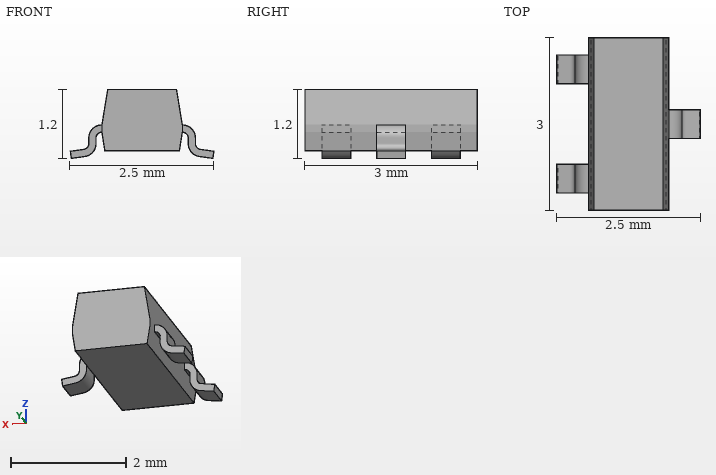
import cadquery as cq
import math

LEAD_SPAN = 2.5
BODY_LENGTH = 3.0
BODY_TOP = 1.2
BODY_BOTTOM = 0.132
TOP_WIDTH = 1.2
WAIST_WIDTH = 1.4
BOTTOM_WIDTH = 1.3

LEAD_THICKNESS = 0.13
LEAD_WIDTH = 0.505
LEAD_TOP = 0.585
BEND_INNER_RADIUS = 0.1
FOOT_ANGLE = math.radians(8)
LEAD_PITCH = 1.902

LEAD_BOTTOM = LEAD_TOP - LEAD_THICKNESS
BEND_OUTER_RADIUS = BEND_INNER_RADIUS + LEAD_THICKNESS


def make_housing():
    """Body tapering up and down from a narrow vertical waist band."""
    right_side = [
        (BOTTOM_WIDTH / 2, BODY_BOTTOM),
        (WAIST_WIDTH / 2, LEAD_BOTTOM),
        (WAIST_WIDTH / 2, LEAD_TOP),
        (TOP_WIDTH / 2, BODY_TOP),
    ]
    left_side = [(-x, z) for x, z in reversed(right_side)]
    return (
        cq.Workplane("XZ")
        .polyline(right_side + left_side)
        .close()
        .extrude(BODY_LENGTH / 2, both=True)
    )


def make_lead():
    """Gull-wing lead on the -X side, centred on Y = 0 and ending at the waist."""
    sin_foot = math.sin(FOOT_ANGLE)
    cos_foot = math.cos(FOOT_ANGLE)

    upper_x = -WAIST_WIDTH / 2
    upper_z = LEAD_TOP - BEND_OUTER_RADIUS
    lower_x = upper_x - BEND_OUTER_RADIUS - BEND_INNER_RADIUS
    tip_top_x = -LEAD_SPAN / 2
    foot_length = (lower_x + BEND_INNER_RADIUS * sin_foot - tip_top_x) / cos_foot
    lower_z = BEND_OUTER_RADIUS * cos_foot + foot_length * sin_foot

    def upper_point(radius, angle):
        return (upper_x + radius * math.cos(angle), upper_z + radius * math.sin(angle))

    def lower_point(radius, angle):
        return (lower_x + radius * math.cos(angle), lower_z + radius * math.sin(angle))

    def tip_point(radius):
        x, z = lower_point(radius, foot_end)
        return (x - foot_length * cos_foot, z - foot_length * sin_foot)

    upper_middle = math.radians(135)
    foot_end = FOOT_ANGLE - math.pi / 2
    lower_middle = foot_end / 2

    profile = (
        cq.Workplane("XZ")
        .moveTo(upper_x, LEAD_TOP)
        .threePointArc(
            upper_point(BEND_OUTER_RADIUS, upper_middle),
            upper_point(BEND_OUTER_RADIUS, math.pi),
        )
        .lineTo(*lower_point(BEND_INNER_RADIUS, 0))
        .threePointArc(
            lower_point(BEND_INNER_RADIUS, lower_middle),
            lower_point(BEND_INNER_RADIUS, foot_end),
        )
        .lineTo(*tip_point(BEND_INNER_RADIUS))
        .lineTo(*tip_point(BEND_OUTER_RADIUS))
        .lineTo(*lower_point(BEND_OUTER_RADIUS, foot_end))
        .threePointArc(
            lower_point(BEND_OUTER_RADIUS, lower_middle),
            lower_point(BEND_OUTER_RADIUS, 0),
        )
        .lineTo(*upper_point(BEND_INNER_RADIUS, math.pi))
        .threePointArc(
            upper_point(BEND_INNER_RADIUS, upper_middle),
            (upper_x, LEAD_BOTTOM),
        )
        .close()
    )
    return profile.extrude(LEAD_WIDTH / 2, both=True)


housing = make_housing()

leads = []
for y, turn in [(-LEAD_PITCH / 2, 0), (LEAD_PITCH / 2, 0), (0, 180)]:
    lead = make_lead().rotate((0, 0, 0), (0, 0, 1), turn).translate((0, y, 0))
    leads.append(lead.val())

result = cq.Compound.makeCompound([housing.val(), *leads])